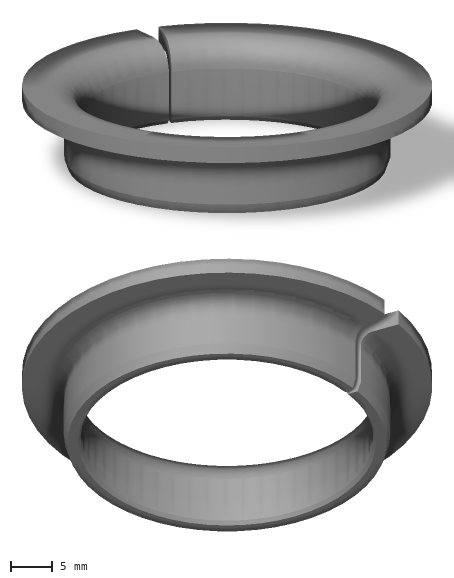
import cadquery as cq
import math

total_height = 10.0
bore_radius = 17.5
wall = 2.0
flange_radius = 24.5
mouth_fillet = 3.5
root_fillet = mouth_fillet - wall

lead_in_height = 1.2
lead_in_angle = 20.0
bore_chamfer_height = 0.5
bore_chamfer_angle = 30.0

split_apex_inset = 1.0
split_half_angle = 10.0


def taper_depth(height, angle):
    """Radial depth of a taper with the given height and angle from the axis."""
    return height * math.tan(math.radians(angle))


lead_in_depth = taper_depth(lead_in_height, lead_in_angle)
bore_chamfer_depth = taper_depth(bore_chamfer_height, bore_chamfer_angle)

sleeve_radius = bore_radius + wall
flange_bottom = total_height - wall
bend_center_radius = bore_radius + mouth_fillet
bend_center_height = total_height - mouth_fillet


def bend_midpoint(radius):
    """Middle of a quarter arc about the bend center, facing the axis and upwards."""
    offset = radius * math.sin(math.radians(45))
    return (bend_center_radius - offset, bend_center_height + offset)


def make_collar():
    """Revolved sleeve, bend and flange."""
    profile = (
        cq.Workplane("XZ").transformed(rotate=(0, 180, 0))
        .moveTo(bore_radius + bore_chamfer_depth, 0)
        .lineTo(sleeve_radius - lead_in_depth, 0)
        .lineTo(sleeve_radius, lead_in_height)
        .lineTo(sleeve_radius, bend_center_height)
        .threePointArc(bend_midpoint(root_fillet), (bend_center_radius, flange_bottom))
        .lineTo(flange_radius, flange_bottom)
        .lineTo(flange_radius, total_height)
        .lineTo(bend_center_radius, total_height)
        .threePointArc(bend_midpoint(mouth_fillet), (bore_radius, bend_center_height))
        .lineTo(bore_radius, bore_chamfer_height)
        .close()
    )
    return profile.revolve(360, (0, 0, 0), (0, 1, 0))


def make_split():
    """Wedge that opens outwards along -X through the full height."""
    apex_radius = bore_radius - split_apex_inset
    outer_reach = flange_radius + wall
    outer_half_gap = (outer_reach - apex_radius) * math.tan(math.radians(split_half_angle))
    return (
        cq.Workplane("XY")
        .moveTo(-apex_radius, 0)
        .lineTo(-outer_reach, outer_half_gap)
        .lineTo(-outer_reach, -outer_half_gap)
        .close()
        .extrude(total_height)
    )


result = make_collar().cut(make_split())